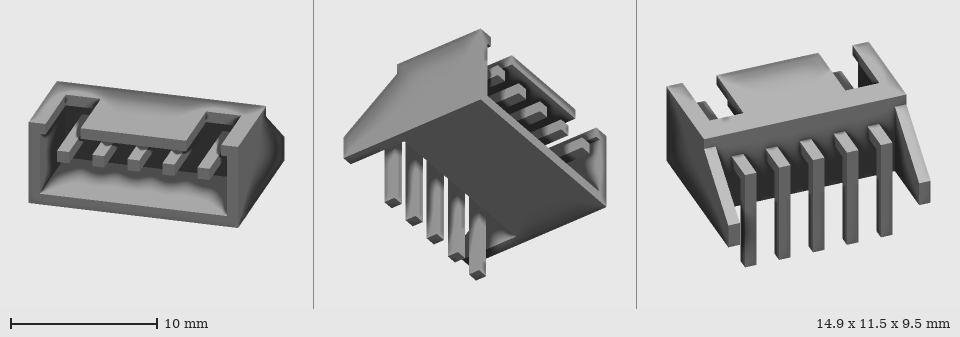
import cadquery as cq


housing_width = 14.9
housing_depth = 7.0
housing_height = 6.1
wall = 0.8

cavity_depth = housing_depth - wall
cavity_width = housing_width - 2 * wall
cavity_height = housing_height - 2 * wall

slot_width = 2.5
slot_side_margin = 1.2
slot_depth = 5.0
slot_center_x = housing_width / 2 - slot_side_margin - slot_width / 2

wing_thickness = 0.85
wing_length = 4.5
wing_root_height = 5.3
wing_tip_height = 1.8

pin_count = 5
pin_pitch = 2.5
pin_thickness = 0.85
pin_center_z = 3.775
pin_tail_length = 3.4
pin_overhang = 2.5
pin_front_y = 0.0

pin_back_y = housing_depth + pin_overhang
pin_top_z = pin_center_z + pin_thickness / 2
pin_underside_z = pin_center_z - pin_thickness / 2


def make_block(width, y_start, y_end, z_bottom, z_top, center_x=0):
    """Box centred on center_x, between the given Y and Z limits."""
    return (
        cq.Workplane("XY")
        .box(width, y_end - y_start, z_top - z_bottom, centered=(True, False, False))
        .translate((center_x, y_start, z_bottom))
    )


def extrude_side_profile(points, thickness, center_x):
    """Plate with a (Y, Z) outline, centred on center_x along X."""
    return (
        cq.Workplane("YZ")
        .polyline(points)
        .close()
        .extrude(thickness / 2, both=True)
        .translate((center_x, 0, 0))
    )


def make_wing(side):
    """Wing with a sloping top edge, on the -X (side = -1) or +X (side = 1) end."""
    wing_back_y = housing_depth + wing_length
    outline = [
        (housing_depth, 0),
        (wing_back_y, 0),
        (wing_back_y, wing_tip_height),
        (housing_depth, wing_root_height),
    ]
    center_x = side * (housing_width - wing_thickness) / 2
    return extrude_side_profile(outline, wing_thickness, center_x)


def make_pin(center_x):
    """L-shaped pin: a level contact and a tail that turns down behind the housing."""
    tail_front_y = pin_back_y - pin_thickness
    outline = [
        (pin_front_y, pin_top_z),
        (pin_back_y, pin_top_z),
        (pin_back_y, -pin_tail_length),
        (tail_front_y, -pin_tail_length),
        (tail_front_y, pin_underside_z),
        (pin_front_y, pin_underside_z),
    ]
    return extrude_side_profile(outline, pin_thickness, center_x)


def make_housing(pins):
    """Shroud with cavity, key slots and wings, and a fitted hole for each pin."""
    body = make_block(housing_width, 0, housing_depth, 0, housing_height)
    body = body.cut(make_block(cavity_width, 0, cavity_depth, wall, wall + cavity_height))
    for side in (-1, 1):
        slot = make_block(
            slot_width, 0, slot_depth, housing_height - wall, housing_height, side * slot_center_x
        )
        body = body.cut(slot)
        body = body.union(make_wing(side))
    for pin in pins:
        body = body.cut(pin)
    return body


pins = []
for index in range(pin_count):
    pin_x = (index - (pin_count - 1) / 2) * pin_pitch
    pins.append(make_pin(pin_x))

housing = make_housing(pins)

result = cq.Compound.makeCompound([housing.val(), *[pin.val() for pin in pins]])